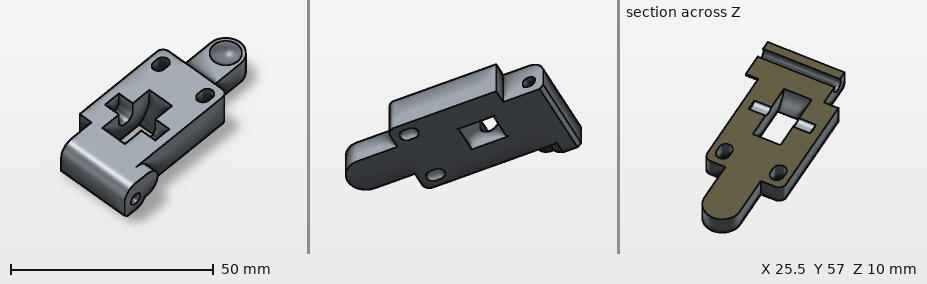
import cadquery as cq

total_length = 57.0
body_width = 22.0
body_length = 30.0
height = 10.0
corner_radius = 2.0
body_mid_x = body_width / 2

arm_width = 10.0
arm_height = 7.0
dish_radius = 4.0
dish_depth = 2.0

hinge_left = 4.0
hinge_right = 25.5
hinge_length = 11.0
knuckle_radius = 4.0
knuckle_foot_length = 5.0
front_chamfer = 1.0
pin_diameter = 3.4
pin_height = 4.0

slot_width = 3.4
slot_length = 4.9
slot_spacing = 15.0
slot_rear_offset = 4.45

axis_y = 9.0
axis_z = 7.0
wheel_diameter = 17.0
wheel_width = 7.6
axle_diameter = 5.0
axle_length = 17.0

arm_tip_radius = arm_width / 2
arm_tip_y = total_length - hinge_length - arm_tip_radius
hinge_front = -hinge_length
pin_y = hinge_front + knuckle_radius
knuckle_z = height - knuckle_radius
knuckle_rear_y = pin_y + knuckle_radius


def block(x_min, x_max, y_min, y_max, z_min, z_max):
    size = (x_max - x_min, y_max - y_min, z_max - z_min)
    return cq.Workplane("XY").box(*size, centered=False).translate((x_min, y_min, z_min))


def x_cylinder(x_min, x_max, y, z, radius):
    profile = cq.Workplane("YZ", origin=(x_min, 0, 0)).center(y, z).circle(radius)
    return profile.extrude(x_max - x_min)


def make_body():
    body = block(0, body_width, 0, body_length, 0, height)
    return body.edges("|Z and >Y").fillet(corner_radius)


def make_arm():
    left = body_mid_x - arm_tip_radius
    right = body_mid_x + arm_tip_radius
    shank = block(left, right, body_length - corner_radius, arm_tip_y, 0, arm_height)
    tip = cq.Workplane("XY").center(body_mid_x, arm_tip_y).circle(arm_tip_radius).extrude(arm_height)
    return shank.union(tip)


def make_dish():
    sphere_radius = (dish_radius**2 + dish_depth**2) / (2 * dish_depth)
    center_z = arm_height - dish_depth + sphere_radius
    return cq.Workplane("XY").sphere(sphere_radius).translate((body_mid_x, arm_tip_y, center_z))


def make_hinge():
    base = block(hinge_left, body_width, pin_y, 0, 0, height)
    foot_rear_y = hinge_front + knuckle_foot_length
    foot = block(hinge_left, hinge_right, hinge_front, foot_rear_y, 0, knuckle_z)
    foot = foot.edges("<Y and <Z").chamfer(front_chamfer)
    bridge = block(hinge_left, hinge_right, pin_y, knuckle_rear_y, knuckle_z, height)
    hinge = base.union(foot).union(bridge)
    for y, z in ((pin_y, knuckle_z), (knuckle_rear_y, knuckle_z), (pin_y, pin_height)):
        lobe = x_cylinder(hinge_left, hinge_right, y, z, knuckle_radius)
        hinge = hinge.union(lobe)
    return hinge


def make_screw_slots():
    return (
        cq.Workplane("XY")
        .center(body_mid_x, body_length - slot_rear_offset)
        .rarray(slot_spacing, 0.55, 2, 1)
        .slot2D(slot_length, slot_width, angle=90)
        .extrude(height)
    )


def make_cradle(length, diameter):
    radius = diameter / 2
    left = body_mid_x - length / 2
    right = body_mid_x + length / 2
    trough = x_cylinder(left, right, axis_y, axis_z, radius)
    return trough.union(block(left, right, axis_y - radius, axis_y + radius, axis_z, height))


result = make_body().union(make_arm()).union(make_hinge())
result = result.cut(make_dish())
result = result.cut(make_screw_slots())
result = result.cut(make_cradle(wheel_width, wheel_diameter))
result = result.cut(make_cradle(axle_length, axle_diameter))
result = result.cut(x_cylinder(hinge_left, hinge_right, pin_y, pin_height, pin_diameter / 2))